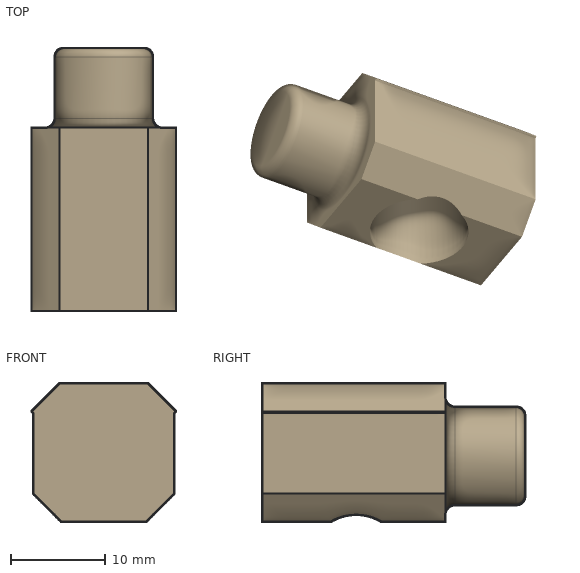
import cadquery as cq

body_length = 19.5
body_height = 14.75
side_width = 15.05
shoulder_width = 15.42
chamfer = 3.0

pin_diameter = 10.5
pin_length = 8.5
pin_axis_height = 7.0
pin_tip_radius = 1.0
pin_root_radius = 1.0

hole_diameter = 10.5
hole_depth = 10.0
hole_from_front = 10.0

bottom = -pin_axis_height
top = bottom + body_height


def make_body():
    """Octagonal bar whose upper corners overhang the sides by a small 45 degree ledge."""
    side = side_width / 2
    shoulder = shoulder_width / 2
    overhang = shoulder - side
    shoulder_height = top - chamfer
    right_half = [
        (side - chamfer, bottom),
        (side, bottom + chamfer),
        (side, shoulder_height - overhang),
        (shoulder, shoulder_height),
        (shoulder - chamfer, top),
    ]
    left_half = [(-x, z) for x, z in reversed(right_half)]
    return cq.Workplane("XZ").polyline(right_half + left_half).close().extrude(body_length)


def make_pin():
    """Pin revolved about Y, with a rounded tip and a concave fillet at its root."""
    radius = pin_diameter / 2
    return (
        cq.Workplane("XY")
        .lineTo(radius + pin_root_radius, 0)
        .radiusArc((radius, pin_root_radius), pin_root_radius)
        .lineTo(radius, pin_length - pin_tip_radius)
        .radiusArc((radius - pin_tip_radius, pin_length), -pin_tip_radius)
        .lineTo(0, pin_length)
        .close()
        .revolve(360, (0, 0, 0), (0, 1, 0))
    )


def make_hole():
    """Flat-bottomed vertical hole cutter, starting at the underside."""
    hole_y = hole_from_front - body_length
    return (
        cq.Workplane("XY", origin=(0, hole_y, bottom))
        .circle(hole_diameter / 2)
        .extrude(hole_depth)
    )


result = make_body().union(make_pin()).cut(make_hole())